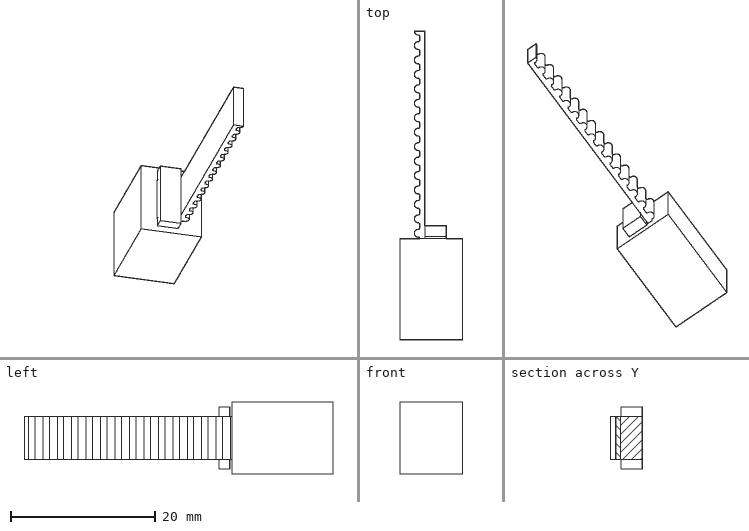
import cadquery as cq

block_width = 8.67
block_height = 10.0
overall_length = 42.75

belt_length = 28.7
belt_height = 6.0
belt_back_x = -0.9
web_thickness = 0.73
first_tooth_y = 0.73
tooth_radius = 0.55
tooth_height = 0.73
root_fillet = 0.15
full_teeth = 14

clip_width = 3.0
clip_head_height = 8.65
clip_head_length = 1.55
clip_gap = 0.25

block_length = overall_length - belt_length
tooth_pitch = (belt_length - first_tooth_y) / full_teeth
belt_root_x = belt_back_x - web_thickness
tip_x = belt_root_x - tooth_height
tip_centre_x = tip_x + tooth_radius


def box(x_start, width, y_start, length, height):
    """Box from its low X and Y sides, centred on Z = 0."""
    return cq.Workplane("XY").box(width, length, height, centered=(False, False, True)).translate(
        (x_start, y_start, 0)
    )


def make_block():
    return box(-block_width / 2, block_width, -block_length, block_length, block_height)


def add_rising_side(outline, middle):
    """Lower half of a tooth, from the web out to the tip: root fillet, flank, quarter-round tip."""
    low = middle - tooth_radius
    return (
        outline.lineTo(belt_root_x, low - root_fillet)
        .radiusArc((belt_root_x - root_fillet, low), -root_fillet)
        .lineTo(tip_centre_x, low)
        .radiusArc((tip_x, middle), tooth_radius)
    )


def add_falling_side(outline, middle):
    """Upper half of a tooth, from the tip back to the web."""
    high = middle + tooth_radius
    return (
        outline.radiusArc((tip_centre_x, high), tooth_radius)
        .lineTo(belt_root_x - root_fillet, high)
        .radiusArc((belt_root_x, high + root_fillet), -root_fillet)
    )


def make_belt():
    """Web with round-tipped teeth; the free end cuts the last tooth at its middle."""
    outline = cq.Workplane("XY").moveTo(belt_back_x, 0).lineTo(belt_root_x, 0)
    for index in range(full_teeth):
        middle = first_tooth_y + index * tooth_pitch
        outline = add_rising_side(outline, middle)
        outline = add_falling_side(outline, middle)
    outline = add_rising_side(outline, belt_length)
    outline = outline.lineTo(belt_back_x, belt_length).close()
    return outline.extrude(belt_height / 2, both=True)


def make_clip():
    neck = box(belt_back_x, clip_width, 0, clip_gap, belt_height)
    head = box(belt_back_x, clip_width, clip_gap, clip_head_length, clip_head_height)
    return neck.union(head)


block = make_block()
belt = make_belt()
clip = make_clip()

result = cq.Compound.makeCompound([block.val(), belt.val(), clip.val()])